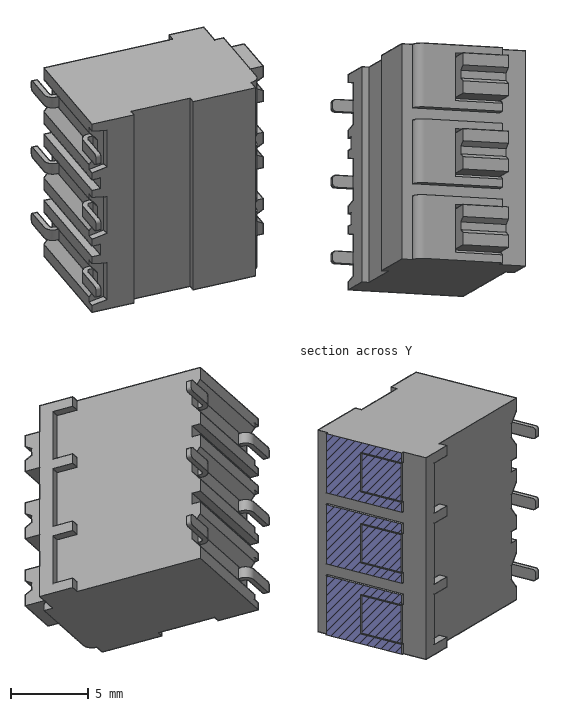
import cadquery as cq


POLES = 3
PITCH = 5.0
HEIGHT = 14.2
POLE_HEIGHT = HEIGHT - (POLES - 1) * PITCH
POLE_GAP = PITCH - POLE_HEIGHT
POLE_CENTERS = [(i - (POLES - 1) / 2) * PITCH for i in range(POLES)]
GAP_CENTERS = [(i - (POLES - 2) / 2) * PITCH for i in range(POLES - 1)]

BODY_HALF_WIDTH = 3.66
SIDE_RIM = 0.48
BODY_RIGHT = BODY_HALF_WIDTH + SIDE_RIM
BODY_FRONT = 0.2
BODY_BACK = 11.77
SIDE_NOTCH_START = 3.18
SIDE_NOTCH_END = 7.35
GROOVE_DEPTH = 0.6
GROOVE_MOUTH = 2.41
GROOVE_FLOOR = 1.0

FLANGE_THICKNESS = 0.6
FLANGE_FRONT = 9.32
FLANGE_BAND_FRONT = 10.79
TINE_HEIGHT = 0.71

PAD_LEFT = -2.5
PAD_RIGHT = 3.41
PAD_DEPTH = 0.64
PAD_FILLET = 0.62
OPENING_HEIGHT = 2.75
OPENING_MOUTH = 3.15
TAPER_DEPTH = 0.31

RECESS_DEPTH = 1.08
RECESS_FLOOR_LEAN = 0.05

BUTTON_CLEARANCE = 0.05
BUTTON_LEFT = PAD_LEFT + BUTTON_CLEARANCE
BUTTON_WIDTH = 3.08
BUTTON_RIGHT = BUTTON_LEFT + BUTTON_WIDTH
BUTTON_BACK = 13.85
BUTTON_HEIGHT = 2.67
SLOT_DEPTH = 0.48
SLOT_MOUTH = 1.05
SLOT_FLOOR = 0.51

LEAD_SPAN = 10.5
LEAD_WIDTH = 0.8
LEAD_THICKNESS = 0.35
LEAD_BEND_RADIUS = 0.61
LEAD_LEG_INSET = 2.55
LEAD_TIP_FILLET = 0.23
LEAD_EMBED = 1.14


def block(x_min, x_max, y_min, y_max, z_center, height):
    size_x = x_max - x_min
    size_y = y_max - y_min
    box = cq.Workplane("XY").box(size_x, size_y, height, centered=(False, False, True))
    return box.translate((x_min, y_min, z_center))


def profile_along_x(points, x_min, x_max, z_center):
    """Extrude a (Y, Z) outline, given relative to z_center, from x_min to x_max."""
    prism = cq.Workplane("YZ").polyline(points).close().extrude(x_max - x_min)
    return prism.translate((x_min, 0, z_center))


def trapezoid_groove(y_mouth, y_floor, mouth_height, floor_height):
    return [
        (y_mouth, -mouth_height / 2),
        (y_floor, -floor_height / 2),
        (y_floor, floor_height / 2),
        (y_mouth, mouth_height / 2),
    ]


def make_body():
    body = block(-BODY_HALF_WIDTH, BODY_RIGHT, BODY_FRONT, BODY_BACK, 0, HEIGHT)
    notch = block(BODY_HALF_WIDTH, BODY_RIGHT, SIDE_NOTCH_START, SIDE_NOTCH_END, 0, HEIGHT)
    return body.cut(notch)


def make_flange():
    """Flange with a window at each pole, leaving tines between the poles and at both ends."""
    x_outer = -BODY_HALF_WIDTH - FLANGE_THICKNESS
    flange = block(x_outer, -BODY_HALF_WIDTH, FLANGE_FRONT, BODY_BACK, 0, HEIGHT)
    end_tine = (HEIGHT - TINE_HEIGHT) / 2
    tines = sorted(GAP_CENTERS + [-end_tine, end_tine])
    for lower, upper in zip(tines, tines[1:]):
        window_height = upper - lower - TINE_HEIGHT
        window_center = (lower + upper) / 2
        window = block(
            x_outer, -BODY_HALF_WIDTH, FLANGE_FRONT, FLANGE_BAND_FRONT, window_center, window_height
        )
        flange = flange.cut(window)
    return flange


def make_rim_recess(z):
    """Cutter for the right rim: walls draw together toward a floor that leans slightly outward."""
    floor_outer = BODY_FRONT + RECESS_DEPTH
    floor_inner = floor_outer - RECESS_FLOOR_LEAN
    walls = trapezoid_groove(BODY_FRONT, floor_outer, OPENING_MOUTH, OPENING_HEIGHT)
    outline = [
        (BODY_HALF_WIDTH, BODY_FRONT),
        (BODY_RIGHT, BODY_FRONT),
        (BODY_RIGHT, floor_outer),
        (BODY_HALF_WIDTH, floor_inner),
    ]
    plan = cq.Workplane("XY").polyline(outline).close().extrude(OPENING_MOUTH / 2, both=True)
    return profile_along_x(walls, BODY_HALF_WIDTH, BODY_RIGHT, z).intersect(plan.translate((0, 0, z)))


def cut_front(body):
    """V grooves at the poles, slots between the poles and openings in the right rim."""
    groove_floor = BODY_FRONT + GROOVE_DEPTH
    groove = trapezoid_groove(BODY_FRONT, groove_floor, GROOVE_MOUTH, GROOVE_FLOOR)
    for z in POLE_CENTERS:
        body = body.cut(profile_along_x(groove, -BODY_HALF_WIDTH, BODY_RIGHT, z))
        body = body.cut(make_rim_recess(z))
    for z in GAP_CENTERS:
        body = body.cut(block(-BODY_HALF_WIDTH, BODY_RIGHT, BODY_FRONT, groove_floor, z, POLE_GAP))
    return body


def make_pad(z):
    """Raised pad with one rounded side and a tapered opening around the button."""
    pad_back = BODY_BACK + PAD_DEPTH
    pad = block(PAD_LEFT, PAD_RIGHT, BODY_BACK, pad_back, z, POLE_HEIGHT)
    pad = pad.edges("|Z and >X and >Y").fillet(PAD_FILLET)
    opening_right = BUTTON_RIGHT + BUTTON_CLEARANCE
    taper = trapezoid_groove(pad_back, pad_back - TAPER_DEPTH, OPENING_MOUTH, OPENING_HEIGHT)
    pad = pad.cut(profile_along_x(taper, PAD_LEFT, opening_right, z))
    return pad.cut(block(PAD_LEFT, opening_right, BODY_BACK, pad_back, z, OPENING_HEIGHT))


def make_button(z):
    button = block(BUTTON_LEFT, BUTTON_RIGHT, BODY_BACK, BUTTON_BACK, z, BUTTON_HEIGHT)
    slot = trapezoid_groove(BUTTON_BACK, BUTTON_BACK - SLOT_DEPTH, SLOT_MOUTH, SLOT_FLOOR)
    return button.cut(profile_along_x(slot, BUTTON_LEFT, BUTTON_RIGHT, z))


def make_left_lead(z):
    """Bent strip: a foot along the front and a leg running back into the housing."""
    tip = -LEAD_SPAN / 2
    leg_outer = -LEAD_LEG_INSET
    leg_inner = leg_outer - LEAD_THICKNESS
    bend_x = leg_outer - LEAD_BEND_RADIUS
    inner_radius = LEAD_BEND_RADIUS - LEAD_THICKNESS
    strip = (
        cq.Workplane("XY")
        .moveTo(tip, 0)
        .lineTo(bend_x, 0)
        .radiusArc((leg_outer, LEAD_BEND_RADIUS), -LEAD_BEND_RADIUS)
        .lineTo(leg_outer, LEAD_EMBED)
        .lineTo(leg_inner, LEAD_EMBED)
        .lineTo(leg_inner, LEAD_BEND_RADIUS)
        .radiusArc((bend_x, LEAD_THICKNESS), inner_radius)
        .lineTo(tip, LEAD_THICKNESS)
        .close()
        .extrude(LEAD_WIDTH / 2, both=True)
    )
    return strip.edges("|Y and <X").fillet(LEAD_TIP_FILLET).translate((0, 0, z))


result = cut_front(make_body()).union(make_flange())
for pole_z in POLE_CENTERS:
    left_lead = make_left_lead(pole_z)
    result = result.union(make_pad(pole_z)).union(make_button(pole_z))
    result = result.union(left_lead).union(left_lead.mirror("YZ"))